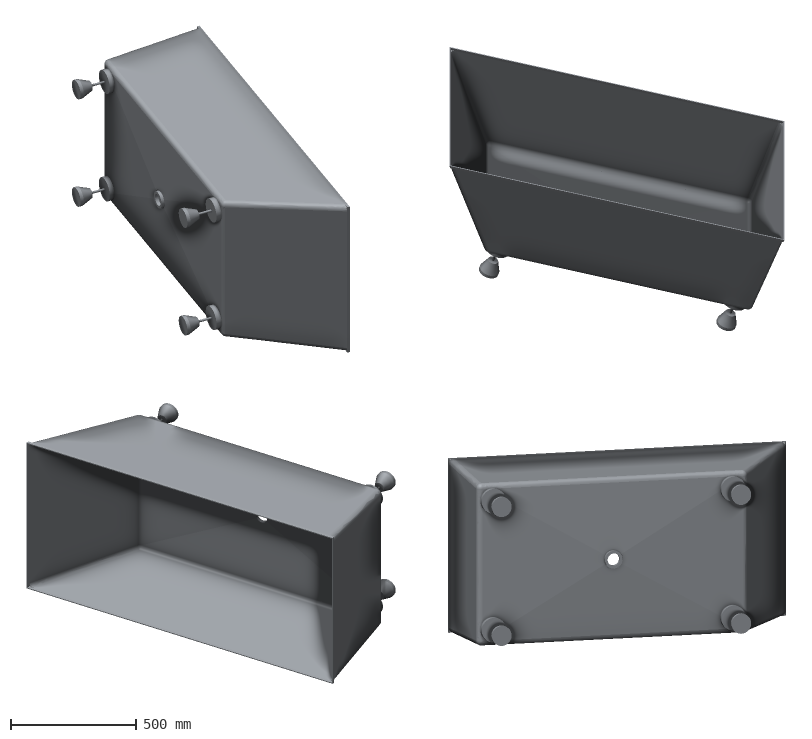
import cadquery as cq
import math

rim_length = 1397
rim_width = 710.0
rim_height = 11.0
rim_lower_length = 1393.0

floor_depth = 433
floor_start = 8.0
floor_end = 1119.0
floor_width = 660.0

edge_radius = 21.0
wall = 4.0

fall = 13.0

pad_depth = 455.0

total_depth = 580.0
foot_spacing_x = 990.0
foot_spacing_z = 525.0
pad_radius = 50.0
rod_radius = 4.9
foot_top_depth = 517
foot_top_radius = 21.0
foot_radius = 40.0
foot_edge_height = 14

drain_x = 566.0
drain_radius = 25.0
collar_radius = 36.0
recess_radius = 40.0
recess_depth = 443.0


def at_depth(depth):
    """Work plane facing -Y at the given depth below the rim."""
    return cq.Workplane("XZ").workplane(offset=depth)


def rectangle(start, end, width, depth):
    """Closed rectangular wire at the given depth, centred on Z = 0."""
    return at_depth(depth).center((start + end) / 2, 0).rect(end - start, width).wires().val()


def disc(x, z, radius, top, bottom):
    """Round disc between two depths."""
    return at_depth(top).center(x, z).circle(radius).extrude(bottom - top)


def setback(side_run, radius):
    """Width that the edge rounding takes from the floor beside a wall leaning out by side_run."""
    lean = math.atan2(side_run, floor_depth - rim_height)
    return radius * math.tan((math.pi / 2 - lean) / 2)


def sloped_block(top, bottom):
    """Solid with flat sides between two rectangular wires."""
    return cq.Workplane(cq.Solid.makeLoft([top, bottom], True))


def pyramid(base, apex):
    """Solid pyramid on a wire."""
    faces = [cq.Face.makeFromWires(base)]
    for edge in base.Edges():
        ends = [edge.startPoint(), edge.endPoint(), apex]
        faces.append(cq.Face.makeFromWires(cq.Wire.makePolygon(ends, close=True)))
    return cq.Workplane(cq.Solid.makeSolid(cq.Shell.makeShell(faces)))


def tub_form(inset):
    """Tub below the rim, moved inward by inset, with rounded edges and a falling underside."""
    depth = floor_depth - inset
    radius = edge_radius - inset
    start = floor_start + inset
    end = floor_end - inset
    width = floor_width - 2 * inset
    block = sloped_block(
        rectangle(inset, rim_lower_length - inset, rim_width - 2 * inset, rim_height),
        rectangle(start, end, width, depth),
    )
    block = block.edges("not >Y").fillet(radius)
    flat_start = start + setback(floor_start, radius)
    flat_end = end - setback(rim_lower_length - floor_end, radius)
    flat_width = width - 2 * setback((rim_width - floor_width) / 2, radius)
    underside = pyramid(
        rectangle(flat_start, flat_end, flat_width, depth),
        cq.Vector(drain_x, -depth - fall, 0),
    )
    return block.union(underside)


def rim_form(inset):
    """Sharp-cornered band at the rim, moved inward by inset, with a slightly leaning far end."""
    width = rim_width - 2 * inset
    return sloped_block(
        rectangle(inset, rim_length - inset, width, 0),
        rectangle(inset, rim_lower_length - inset, width, rim_height),
    )


def make_foot(x, z):
    """Pad under the floor, thin rod and conical foot."""
    pad = disc(x, z, pad_radius, floor_depth - wall, pad_depth)
    rod = disc(x, z, rod_radius, pad_depth, foot_top_depth)
    edge_depth = total_depth - foot_edge_height
    cone = (
        at_depth(foot_top_depth).center(x, z).circle(foot_top_radius)
        .workplane(offset=edge_depth - foot_top_depth).circle(foot_radius).loft()
    )
    edge = disc(x, z, foot_radius, edge_depth, total_depth)
    return pad.union(rod).union(cone).union(edge)


def make_tub():
    """Hollow tub with its feet, open at the rim, with a recessed drain hole."""
    tub = tub_form(0).union(rim_form(0))
    for x in (drain_x - foot_spacing_x / 2, drain_x + foot_spacing_x / 2):
        for z in (-foot_spacing_z / 2, foot_spacing_z / 2):
            tub = tub.union(make_foot(x, z))
    tub = tub.cut(tub_form(wall)).cut(rim_form(wall))
    tub = tub.cut(disc(drain_x, 0, recess_radius, recess_depth, pad_depth))
    return tub.cut(disc(drain_x, 0, drain_radius, rim_height, pad_depth))


def make_drain_collar():
    """Ring around the drain hole, standing in the recess."""
    collar = disc(drain_x, 0, collar_radius, recess_depth, pad_depth)
    return collar.cut(disc(drain_x, 0, drain_radius, recess_depth, pad_depth))


tub = make_tub()
drain_collar = make_drain_collar()

result = cq.Compound.makeCompound([tub.val(), drain_collar.val()])